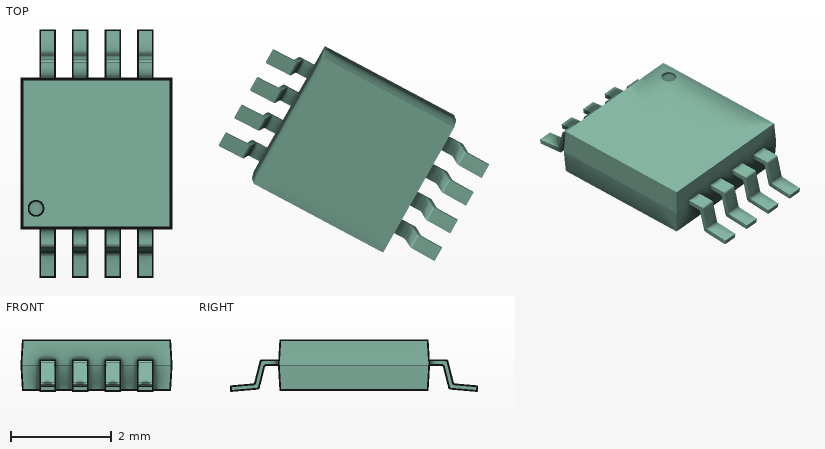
import cadquery as cq
import math

body_side = 3.0
body_height = 1.0
body_taper = 0.03
standoff = 0.02

leads_per_side = 4
lead_pitch = 0.65
lead_width = 0.3
lead_thickness = 0.1
lead_span = 4.92
lead_embed = 0.15
knee_reach = 0.36
shank_lean = math.radians(14)
foot_slope = math.radians(5)
bend_radius = 0.05

mark_diameter = 0.3
mark_depth = 0.05
mark_inset_x = 0.295
mark_inset_y = 0.41

half_side = body_side / 2
parting_z = standoff + body_height / 2
body_top_z = standoff + body_height


def body_half(face_z):
    """Tapered block from the parting plane to the flat face at face_z."""
    face_side = body_side - 2 * body_taper
    return (
        cq.Workplane("XY", origin=(0, 0, parting_z))
        .rect(body_side, body_side)
        .workplane(offset=face_z - parting_z)
        .rect(face_side, face_side)
        .loft(ruled=True)
    )


def lead_outline():
    """Corners (Y, Z) of a lead on the +Y side, before the bends are rounded."""
    thickness = lead_thickness
    root_y = half_side - lead_embed
    top_z = parting_z + thickness
    knee_y = half_side + knee_reach

    tip_y = lead_span / 2
    tip_z = thickness * math.cos(foot_slope)
    heel_y = tip_y - thickness * math.sin(foot_slope)

    lean = math.tan(shank_lean)
    slope = math.tan(foot_slope)
    ankle_y = (knee_y + (top_z - tip_z - tip_y * slope) * lean) / (1 - slope * lean)
    ankle_z = tip_z + (tip_y - ankle_y) * slope

    knee_turn = math.pi / 2 - shank_lean
    ankle_turn = knee_turn - foot_slope
    knee_shift = thickness * math.tan(knee_turn / 2)
    ankle_mitre = thickness / math.cos(ankle_turn / 2)
    ankle_angle = foot_slope + ankle_turn / 2
    lower_ankle = (
        ankle_y - ankle_mitre * math.sin(ankle_angle),
        ankle_z - ankle_mitre * math.cos(ankle_angle),
    )

    return [
        (root_y, top_z),
        (knee_y, top_z),
        (ankle_y, ankle_z),
        (tip_y, tip_z),
        (heel_y, 0),
        lower_ankle,
        (knee_y - knee_shift, parting_z),
        (root_y, parting_z),
    ]


def make_lead():
    """One lead on the +Y side, centred on X = 0."""
    outline = lead_outline()
    blank = cq.Workplane("YZ").polyline(outline).close().extrude(lead_width / 2, both=True)
    bend_corners = [outline[1], outline[2], outline[5], outline[6]]
    for y, z in bend_corners:
        edge = cq.selectors.NearestToPointSelector((0, y, z))
        blank = blank.edges("|X").edges(edge).fillet(bend_radius)
    return blank


result = body_half(body_top_z).union(body_half(standoff))

lead = make_lead()
for index in range(leads_per_side):
    lead_x = (index - (leads_per_side - 1) / 2) * lead_pitch
    result = result.union(lead.translate((lead_x, 0, 0)))
    result = result.union(lead.mirror("XZ").translate((lead_x, 0, 0)))

mark = (
    cq.Workplane("XY", origin=(mark_inset_x - half_side, mark_inset_y - half_side, body_top_z))
    .circle(mark_diameter / 2)
    .extrude(-mark_depth)
)
result = result.cut(mark)